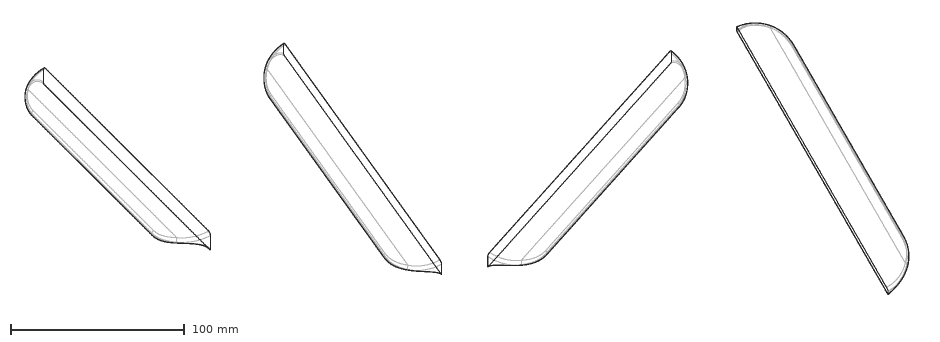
import cadquery as cq
import math

length = 178.0
depth = 24.0
height = 13.0

corner_radius = 25.0

slope_depth = 16.7
slope_angle = 10.0
nose_top_drop = 5.9

crest_depth = 13.4
crest_drop = 5.5

top_round = 2.0
under_round = 0.7


def make_section():
    """Bar with the constant Y-Z section, back face on Y = 0 and top back edge at Z = 0."""
    slope_drop = slope_depth * math.tan(math.radians(slope_angle))
    fall = height - crest_drop
    finger_radius = (crest_depth**2 + fall**2) / (2 * fall)
    nose_run = depth - crest_depth
    nose_bottom_drop = crest_drop + finger_radius - math.sqrt(finger_radius**2 - nose_run**2)
    return (
        cq.Workplane("YZ")
        .lineTo(-slope_depth, -slope_drop)
        .tangentArcPoint((-depth, -nose_top_drop), relative=False)
        .lineTo(-depth, -nose_bottom_drop)
        .threePointArc((-crest_depth, -crest_drop), (0, -height))
        .close()
        .extrude(length / 2, both=True)
    )


def make_plan():
    """Tall block with the plan outline, used to trim the bar ends."""
    center_y = corner_radius - depth
    corner_run = math.sqrt(corner_radius**2 - center_y**2)
    corner_x = length / 2 - corner_run
    middle_run = corner_radius * math.sin(math.pi / 4)
    middle = (corner_x + middle_run, center_y - middle_run)
    return (
        cq.Workplane("XY")
        .moveTo(-length / 2, 0)
        .threePointArc((-middle[0], middle[1]), (-corner_x, -depth))
        .lineTo(corner_x, -depth)
        .threePointArc(middle, (length / 2, 0))
        .close()
        .extrude(-height)
    )


def round_rim(bar):
    """Round the rim; each fillet follows its tangent chain from the front edge to both ends."""
    bar = bar.edges("|X and <Y").edges(">Z").fillet(top_round)
    return bar.edges("|X and <Y").edges("<Z").fillet(under_round)


result = round_rim(make_section().intersect(make_plan()))